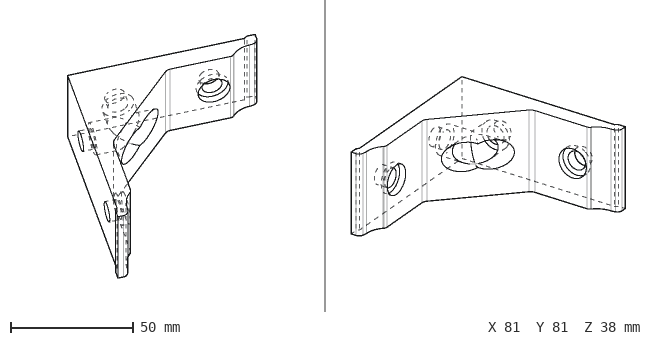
import cadquery as cq
import math

overall = 81.0
height = 38.0
lip_depth = 1.0
leg_length = overall - lip_depth
leg_thickness = 8.0
web_reach = 40.0

lip_length = 3.5
lip_slope_length = 1.4
nose_top = 4.05
nose_radius = 6.8
neck_length = 3.8
tip_radius = 2.4
sweep_radius = 10.5
shoulder_radius = 2.0
web_corner_radius = 3.2

hole_diameter = 8.5
head_clearance_diameter = 13.5
seat_thickness = 5.0
hole_positions = (20.0, 60.0)


def round_corner(body, x, y, radius):
    """Fillet the vertical edge that passes through (x, y)."""
    corner_edge = cq.selectors.NearestToPointSelector((x, y, height / 2))
    return body.edges(corner_edge).fillet(radius)


def make_leg():
    """The leg along X, with its lip, rounded nose and concave sweep."""
    sweep_start = leg_length - neck_length

    nose_angle = math.asin(neck_length / nose_radius)
    nose_side = nose_top - nose_radius * (1 - math.cos(nose_angle))
    nose_mid_x = sweep_start + nose_radius * math.sin(nose_angle / 2)
    nose_mid_y = nose_top - nose_radius * (1 - math.cos(nose_angle / 2))

    sweep_end_x = sweep_start - sweep_radius * math.sin(math.pi / 4)
    sweep_end_y = nose_top + sweep_radius * (1 - math.cos(math.pi / 4))
    sweep_mid_x = sweep_start - sweep_radius * math.sin(math.pi / 8)
    sweep_mid_y = nose_top + sweep_radius * (1 - math.cos(math.pi / 8))
    shoulder_x = sweep_end_x - (leg_thickness - sweep_end_y)
    leg = (
        cq.Workplane("XY")
        .moveTo(0, 0)
        .lineTo(leg_length - lip_length - lip_slope_length, 0)
        .lineTo(leg_length - lip_length, -lip_depth)
        .lineTo(leg_length, -lip_depth)
        .lineTo(leg_length, nose_side)
        .threePointArc((nose_mid_x, nose_mid_y), (sweep_start, nose_top))
        .threePointArc((sweep_mid_x, sweep_mid_y), (sweep_end_x, sweep_end_y))
        .lineTo(shoulder_x, leg_thickness)
        .lineTo(0, leg_thickness)
        .close()
        .extrude(height)
    )
    leg = round_corner(leg, shoulder_x, leg_thickness, shoulder_radius)
    return round_corner(leg, leg_length, nose_side, tip_radius)


def swap_legs(body):
    """Mirror a body across the diagonal plane X = Y."""
    return body.mirror(cq.Vector(1, -1, 0))


def screw_cutters():
    """Through holes in the X leg, counterbored from the inner side to clear the screw heads."""
    cutters = cq.Workplane("XY")
    for x in hole_positions:
        axis_start = cq.Vector(x, 0, height / 2)
        head_seat = cq.Vector(x, seat_thickness, height / 2)
        axis = cq.Vector(0, 1, 0)
        cutters = cutters.add(cq.Solid.makeCylinder(hole_diameter / 2, leg_thickness, axis_start, axis))
        cutters = cutters.add(
            cq.Solid.makeCylinder(head_clearance_diameter / 2, web_reach, head_seat, axis)
        )
    return cutters.combine()


leg_along_x = make_leg()
web = (
    cq.Workplane("XY")
    .polyline([
        (0, 0),
        (web_reach, 0),
        (web_reach, leg_thickness),
        (leg_thickness, web_reach),
        (0, web_reach),
    ])
    .close()
    .extrude(height)
)
body = leg_along_x.union(swap_legs(leg_along_x)).union(web).clean()

body = round_corner(body, web_reach, leg_thickness, web_corner_radius)
body = round_corner(body, leg_thickness, web_reach, web_corner_radius)

cutters = screw_cutters()
result = body.cut(cutters).cut(swap_legs(cutters))